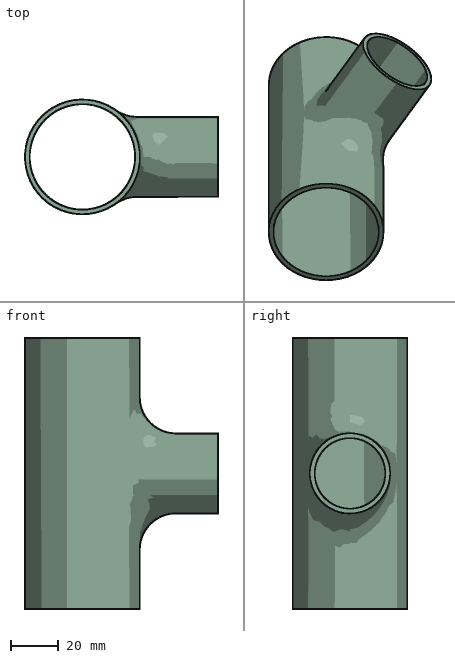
import cadquery as cq

run_length = 114.0
run_diameter = 48.3
branch_diameter = 33.7
branch_reach = 57.0
wall = 2.0
blend_radius = 15.0


def run_cylinder(diameter):
    """Vertical cylinder centred on the origin."""
    return cq.Workplane("XY").circle(diameter / 2).extrude(run_length / 2, both=True)


def branch_cylinder(diameter):
    """Horizontal cylinder from the run axis to the branch end."""
    return cq.Workplane("YZ").circle(diameter / 2).extrude(branch_reach)


def blended_body():
    """Solid outer shape with the junction curve filleted."""
    body = run_cylinder(run_diameter).union(branch_cylinder(branch_diameter))
    half_branch = branch_diameter / 2
    junction_zone = cq.selectors.BoxSelector(
        (0, -half_branch, -half_branch),
        (run_diameter / 2, half_branch, half_branch),
        boundingbox=False,
    )
    junction = body.edges(junction_zone)
    return junction.fillet(blend_radius)


bore_run = run_cylinder(run_diameter - 2 * wall)
bore_branch = branch_cylinder(branch_diameter - 2 * wall)
result = blended_body().cut(bore_run).cut(bore_branch)